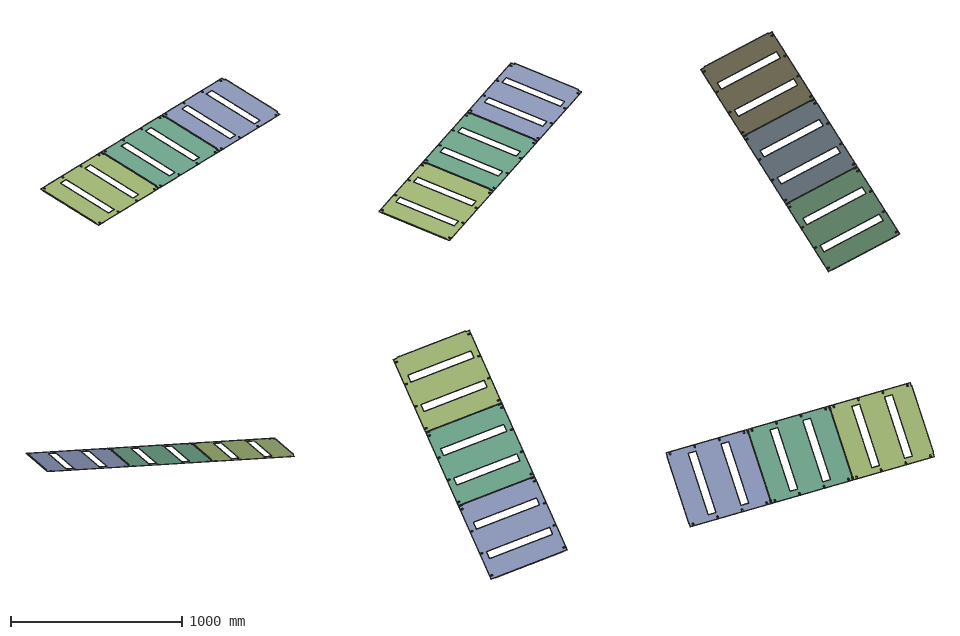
import cadquery as cq

panel_count = 3
row_length = 1498.0
panel_width = 482.0
flange_height = 8.0

panel_gap = 2.0
panel_length = (row_length - (panel_count - 1) * panel_gap) / panel_count
panel_pitch = panel_length + panel_gap
grid_step = panel_pitch / 10
sheet_thickness = 1.0
flange_inset = 24.0
flange_width = panel_width - 2 * flange_inset
bend_inner_radius = 1.0
bend_outer_radius = bend_inner_radius + sheet_thickness
corner_setback = bend_outer_radius
sheet_length = panel_length - 2 * corner_setback

window_count = 2
window_width = 398.0
window_height = 46.0
window_pitch = 4 * grid_step

slots_per_side = 4
slot_length = 15.0
slot_height = 7.0
slot_pitch = 3 * grid_step
slot_edge_distance = 11.2
slot_column_spacing = panel_width - 2 * slot_edge_distance


def make_sheet():
    """Flat sheet between the side edges."""
    return cq.Workplane("XY").box(
        panel_width, sheet_length, sheet_thickness, centered=(True, True, False)
    )


def make_channel():
    """Shallow channel, open upward, that adds the bent flanges to the sheet."""
    outside = cq.Workplane("XY").box(
        flange_width, panel_length, flange_height, centered=(True, True, False)
    )
    outside = outside.edges("<Z and |X").fillet(bend_outer_radius)
    inside = (
        cq.Workplane("XY")
        .workplane(offset=sheet_thickness)
        .box(
            flange_width,
            panel_length - 2 * sheet_thickness,
            flange_height,
            centered=(True, True, False),
        )
    )
    inside = inside.edges("<Z and |X").fillet(bend_inner_radius)
    return outside.cut(inside)


def cut_windows(panel):
    """One column of wide windows down the middle of the panel."""
    return (
        panel.faces("<Z")
        .workplane(origin=(0, 0, 0))
        .rarray(window_width, window_pitch, 1, window_count)
        .rect(window_width, window_height)
        .cutThruAll()
    )


def cut_slots(panel):
    """A column of round-ended slots along each side edge."""
    return (
        panel.faces("<Z")
        .workplane(origin=(0, 0, 0))
        .rarray(slot_column_spacing, slot_pitch, 2, slots_per_side)
        .slot2D(slot_length, slot_height)
        .cutThruAll()
    )


def make_panel(center_y):
    """One complete panel, centred at the given place along Y."""
    panel = make_sheet().union(make_channel())
    panel = cut_windows(panel)
    panel = cut_slots(panel)
    return panel.translate((0, center_y, 0))


panels = []
for index in range(panel_count):
    center_y = (index - (panel_count - 1) / 2) * panel_pitch
    panels.append(make_panel(center_y))

result = cq.Compound.makeCompound([panel.val() for panel in panels])